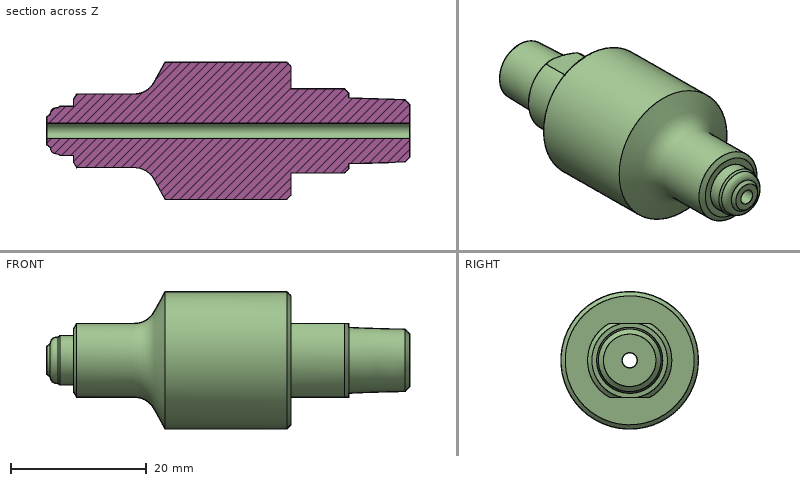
import cadquery as cq
import math

shoulder_center_x = 1.5
shoulder_end = 1.65
spigot_start = 2.0
shank_start = 3.95
flare_start = 12.95
body_start = 17.45
body_end = 36.05
collar_end = 44.6
total_length = 53.6

bore_radius = 2.2 / 2
nose_face_radius = 4.1 / 2
nose_cone_radius = 2.45
shoulder_section_radius = 0.95
spigot_radius = 7.35 / 2
shank_radius = 10.95 / 2
body_radius = 20.3 / 2
collar_radius = 6.2
taper_root_radius = 4.9

shank_chamfer_length = 0.5
shank_chamfer_depth = 0.8
flare_radius = 3.25
flare_angle = math.radians(60)
edge_chamfer = 0.65
tip_chamfer = 0.75
taper_per_radius = 1 / 32

flat_spacing = 2 * shank_radius


def arc_point(center, radius, angle):
    """Point on a circle in the (axial, radial) plane."""
    return (center[0] + radius * math.cos(angle), center[1] + radius * math.sin(angle))


def make_turned_body():
    """Revolve the stepped outer profile about the X axis."""
    shoulder_center = (shoulder_center_x, nose_cone_radius)
    shoulder_start = arc_point(shoulder_center, shoulder_section_radius, math.pi)
    shoulder_middle = arc_point(shoulder_center, shoulder_section_radius, math.radians(135))
    shoulder_back_angle = math.acos((shoulder_end - shoulder_center_x) / shoulder_section_radius)
    shoulder_back = arc_point(shoulder_center, shoulder_section_radius, shoulder_back_angle)

    flare_center = (flare_start, shank_radius + flare_radius)
    flare_middle = arc_point(flare_center, flare_radius, flare_angle / 2 - math.pi / 2)
    flare_end = arc_point(flare_center, flare_radius, flare_angle - math.pi / 2)

    taper_end = total_length - tip_chamfer
    taper_end_radius = taper_root_radius - (taper_end - collar_end) * taper_per_radius

    profile = (
        cq.Workplane("XY")
        .moveTo(0, 0)
        .lineTo(0, nose_face_radius)
        .lineTo(*shoulder_start)
        .threePointArc(shoulder_middle, shoulder_back)
        .lineTo(spigot_start, spigot_radius)
        .lineTo(shank_start, spigot_radius)
        .lineTo(shank_start, shank_radius - shank_chamfer_depth)
        .lineTo(shank_start + shank_chamfer_length, shank_radius)
        .lineTo(flare_start, shank_radius)
        .threePointArc(flare_middle, flare_end)
        .lineTo(body_start, body_radius)
        .lineTo(body_end - edge_chamfer, body_radius)
        .lineTo(body_end, body_radius - edge_chamfer)
        .lineTo(body_end, collar_radius)
        .lineTo(collar_end - edge_chamfer, collar_radius)
        .lineTo(collar_end, collar_radius - edge_chamfer)
        .lineTo(collar_end, taper_root_radius)
        .lineTo(taper_end, taper_end_radius)
        .lineTo(total_length, taper_end_radius - tip_chamfer)
        .lineTo(total_length, 0)
        .close()
    )
    return profile.revolve(360, (0, 0, 0), (1, 0, 0))


def make_flat_cutter():
    """Block with a slot, leaving two wrench flats across Z on the collar."""
    collar_length = collar_end - body_end
    collar_middle = (body_end + collar_end) / 2
    collar_width = 2 * collar_radius
    block = cq.Workplane("XY").box(collar_length, collar_width, collar_width)
    kept = cq.Workplane("XY").box(collar_length, collar_width, flat_spacing)
    return block.cut(kept).translate((collar_middle, 0, 0))


def make_bore():
    """Straight through bore along X."""
    return cq.Workplane("YZ").circle(bore_radius).extrude(total_length)


turned_part = make_turned_body().cut(make_flat_cutter()).cut(make_bore())

result = turned_part.translate((-total_length / 2, 0, 0))